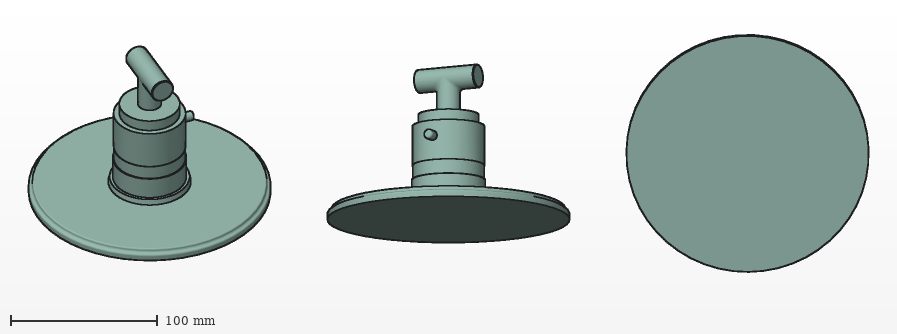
import cadquery as cq
plate_radius = 82.5
plate_height = 8.0
plate_side_height = 3.5
rim_turn_height = 5.0
lip_outer_radius = 79.9
lip_rounding = 1.2

flange_bottom_radius = 28.2
flange_top_radius = 27.2
flange_top = 11.9

base_radius = 25.1
base_top = 27.4
band_radius = 24.5
band_top = 37.3
sleeve_radius = 24.6
sleeve_top = 64.7
cap_radius = 20.6
cap_top = 72.6

overall_height = 105.7
handle_diameter = 16.0
bar_length = 45.2
bar_end_chamfer = 0.5
joint_fillet = 2.5
bar_axis_z = overall_height - handle_diameter / 2

pin_diameter = 6.6
pin_tip_y = 32.0
pin_tip_rounding = 1.7
pin_z = 54.0


def disc(radius, bottom, top):
    """Upright cylinder on the Z axis between two heights."""
    return cq.Workplane("XY").workplane(offset=bottom).circle(radius).extrude(top - bottom)


def make_plate():
    lip_base = plate_height - lip_rounding
    turn_fraction = (rim_turn_height - plate_side_height) / (lip_base - plate_side_height)
    rim_turn_radius = plate_radius - turn_fraction * (plate_radius - lip_outer_radius)
    return (
        cq.Workplane("XZ")
        .lineTo(plate_radius, 0)
        .lineTo(plate_radius, plate_side_height)
        .tangentArcPoint((rim_turn_radius, rim_turn_height), relative=False)
        .tangentArcPoint((lip_outer_radius, lip_base), relative=False)
        .tangentArcPoint((lip_outer_radius - lip_rounding, plate_height), relative=False)
        .lineTo(0, plate_height)
        .close()
        .revolve(360, (0, 0, 0), (0, 1, 0))
    )


def make_flange():
    return (
        cq.Workplane("XY")
        .workplane(offset=plate_height)
        .circle(flange_bottom_radius)
        .workplane(offset=flange_top - plate_height)
        .circle(flange_top_radius)
        .loft()
    )


def make_body():
    base = disc(base_radius, flange_top, base_top)
    band = disc(band_radius, base_top, band_top)
    sleeve = disc(sleeve_radius, band_top, sleeve_top)
    cap = disc(cap_radius, sleeve_top, cap_top)
    return base.union(band).union(sleeve).union(cap)


def make_handle():
    bar = (
        cq.Workplane("YZ")
        .workplane(offset=-bar_length / 2)
        .circle(handle_diameter / 2)
        .extrude(bar_length)
        .faces("<X or >X")
        .edges()
        .chamfer(bar_end_chamfer)
    )
    stem = disc(handle_diameter / 2, cap_top - bar_axis_z, 0)
    joint = bar.union(stem).edges("%ELLIPSE")
    return joint.fillet(joint_fillet).translate((0, 0, bar_axis_z))


def make_pin():
    return (
        cq.Workplane("XZ", origin=(0, 0, pin_z))
        .circle(pin_diameter / 2)
        .extrude(-pin_tip_y)
        .faces(">Y")
        .edges()
        .fillet(pin_tip_rounding)
    )


result = make_plate().union(make_flange()).union(make_body()).union(make_handle()).union(make_pin())